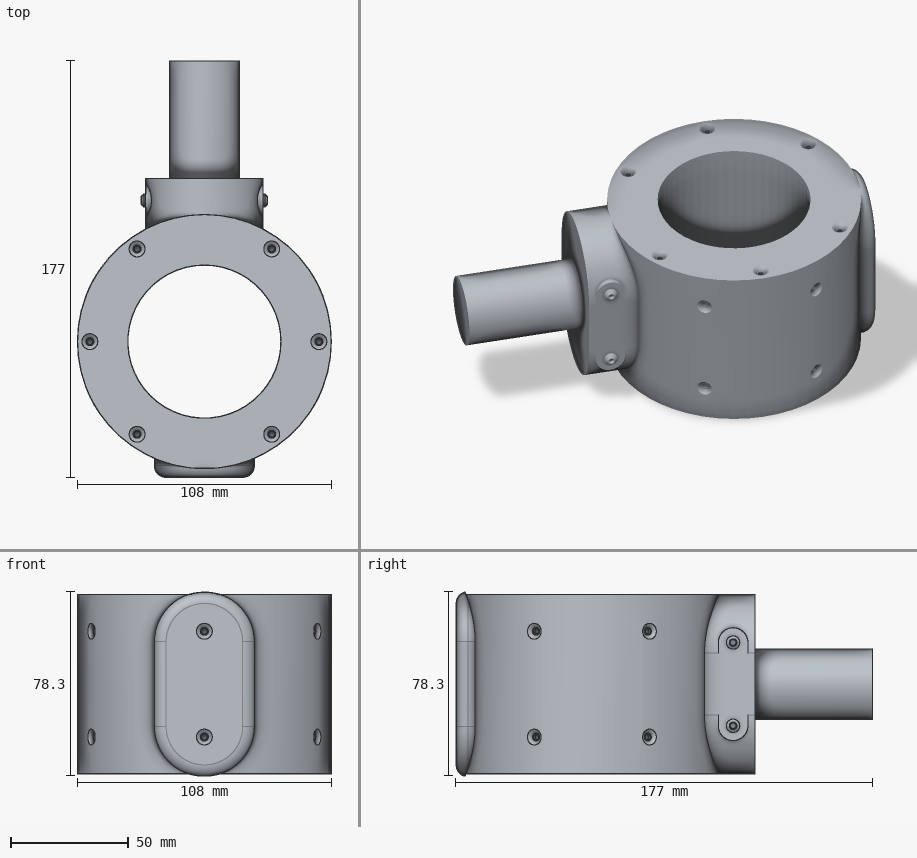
import cadquery as cq
import math

ring_diameter = 108.0
ring_radius = ring_diameter / 2
ring_bore_diameter = 65.0
ring_height = 76.3

collar_width = 50.0
collar_end_y = 69.4
pipe_diameter = 30.0
pipe_end_y = 119.3

overall_length = 177.0
pad_front_y = pipe_end_y - overall_length
pad_width = 42.5
pad_straight = 36.1
pad_length = pad_straight + pad_width
pad_fillet = 5.0

badge_width = 12.5
badge_screw_z = 17.7
badge_length = 2 * badge_screw_z + badge_width
badge_y = 60.0
screw_head_diameter = 5.7
screw_head_height = 2.0
screw_head_chamfer = 1.2
socket_diameter = 2.5

sink_diameter = 6.7
shoulder_diameter = 3.4
sink_depth = (sink_diameter - shoulder_diameter) / 2
pilot_diameter = 2.5
pilot_depth = 3.5
pilot_tip_depth = 0.7
top_hole_circle_radius = 48.7
side_hole_angle = 27.0
top_hole_angle = 2 * side_hole_angle
side_hole_z = 22.5


def slot_block(length, width, end_y):
    """Upright slot, centred on X = Z = 0, running from Y = 0 to Y = end_y."""
    return cq.Workplane("XZ").slot2D(length, width, angle=90).extrude(-end_y)


def screw_hole(mouth, direction):
    """Cutter for one hole that starts at the mouth point and runs along the direction."""
    profile = [
        (0, 0),
        (sink_diameter / 2, 0),
        (shoulder_diameter / 2, sink_depth),
        (pilot_diameter / 2, sink_depth),
        (pilot_diameter / 2, pilot_depth),
        (0, pilot_depth + pilot_tip_depth),
    ]
    plane = cq.Plane(origin=mouth, normal=direction)
    cutter = cq.Workplane("XZ").polyline(profile).close().revolve(360, (0, 0, 0), (0, 1, 0))
    return cq.Workplane(cutter.val().moved(cq.Location(plane)))


def make_ring():
    return cq.Workplane("XY").circle(ring_radius).extrude(ring_height / 2, both=True)


def make_collar_and_pipe():
    collar = slot_block(ring_height, collar_width, collar_end_y)
    pipe = cq.Workplane("XZ").circle(pipe_diameter / 2).extrude(-pipe_end_y)
    return collar.union(pipe)


def make_pad():
    """Rounded pad whose back follows the ring surface, even above and below the ring."""
    pad = slot_block(pad_length, pad_width, pad_front_y)
    pad = pad.faces("<Y").edges().fillet(pad_fillet)
    ring_envelope = cq.Workplane("XY").circle(ring_radius).extrude(pad_length, both=True)
    return pad.cut(ring_envelope)


def make_badge(side):
    """Badge with its face flush with the collar flat; side is -1 for -X and +1 for +X."""
    flat_plane = cq.Plane(origin=(side * collar_width / 2, badge_y, 0), xDir=(0, 1, 0), normal=(side, 0, 0))
    badge = cq.Workplane(flat_plane).slot2D(badge_length, badge_width, angle=90).extrude(-collar_width / 2)
    screws = cq.Workplane(flat_plane).pushPoints([(0, -badge_screw_z), (0, badge_screw_z)])
    heads = (
        screws
        .circle(screw_head_diameter / 2)
        .extrude(screw_head_height)
        .faces(">X" if side > 0 else "<X")
        .edges()
        .chamfer(screw_head_chamfer)
    )
    sockets = screws.circle(socket_diameter / 2).extrude(screw_head_height)
    return badge.union(heads.cut(sockets))


def hole_cutters():
    cutters = []

    for angle in (0, top_hole_angle, 180 - top_hole_angle, 180, 180 + top_hole_angle, -top_hole_angle):
        x = top_hole_circle_radius * math.cos(math.radians(angle))
        y = top_hole_circle_radius * math.sin(math.radians(angle))
        cutters.append(screw_hole((x, y, ring_height / 2), (0, 0, -1)))

    for z in (-side_hole_z, side_hole_z):
        for angle in (-side_hole_angle, side_hole_angle, 180 - side_hole_angle, 180 + side_hole_angle):
            x = math.cos(math.radians(angle))
            y = math.sin(math.radians(angle))
            cutters.append(screw_hole((ring_radius * x, ring_radius * y, z), (-x, -y, 0)))

        cutters.append(screw_hole((0, pad_front_y, z), (0, 1, 0)))

    return cutters


result = make_ring().union(make_collar_and_pipe()).union(make_pad())
for badge_side in (-1, 1):
    result = result.union(make_badge(badge_side))

ring_bore = cq.Workplane("XY").circle(ring_bore_diameter / 2).extrude(ring_height, both=True)
result = result.cut(ring_bore)

for cutter in hole_cutters():
    result = result.cut(cutter)